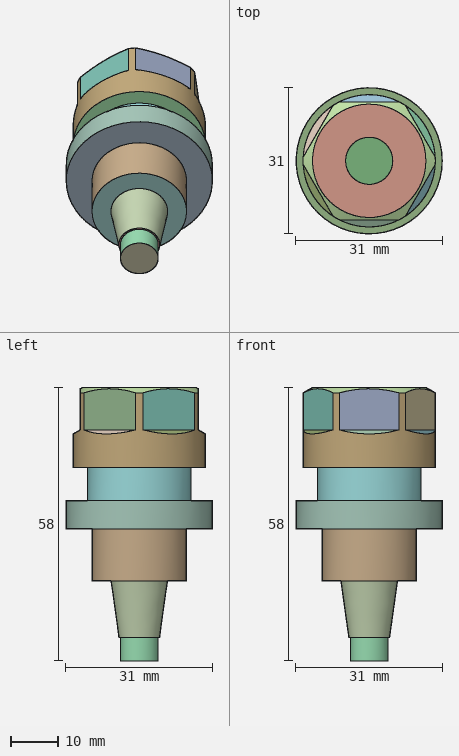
import cadquery as cq
import math

tip_diameter = 8.0
tip_height = 5.0
taper_small_diameter = 8.65
taper_large_diameter = 12.0
taper_height = 12.0
body_diameter = 20.0
body_height = 11.0
flange_diameter = 31.0
flange_height = 6.0
neck_diameter = 22.0
neck_height = 7.0

nut_diameter = 28.0
nut_height = 17.0
across_flats = 25.0
flat_height = 9.0
flat_count = 6
crown_diameter = 24.0
slope_angle = 30.0
bore_diameter = 10.0
bore_depth = nut_height

slope = math.tan(math.radians(slope_angle))
nut_radius = nut_diameter / 2

taper_base = tip_height
body_base = taper_base + taper_height
flange_base = body_base + body_height
neck_base = flange_base + flange_height
nut_base = neck_base + neck_height
nut_top = nut_base + nut_height


def cylinder(diameter, base, height):
    return cq.Workplane("XY").workplane(offset=base).circle(diameter / 2).extrude(height)


def taper():
    return (
        cq.Workplane("XY")
        .workplane(offset=taper_base)
        .circle(taper_small_diameter / 2)
        .workplane(offset=taper_height)
        .circle(taper_large_diameter / 2)
        .loft(combine=True)
    )


def nut_blank():
    """Round nut with a conical bevel around its top edge."""
    crown_radius = crown_diameter / 2
    bevel_height = (nut_radius - crown_radius) * slope
    return (
        cq.Workplane("XZ")
        .moveTo(0, nut_base)
        .lineTo(nut_radius, nut_base)
        .lineTo(nut_radius, nut_top - bevel_height)
        .lineTo(crown_radius, nut_top)
        .lineTo(0, nut_top)
        .close()
        .revolve(360, (0, 0, 0), (0, 1, 0))
    )


def flat_cutter():
    """Tool for the flat facing +Y, with a floor sloping down and outwards."""
    inner = across_flats / 2
    outer = nut_radius + 0.6
    floor = nut_top - flat_height
    return (
        cq.Workplane("YZ")
        .moveTo(inner, floor)
        .lineTo(outer, floor - (outer - inner) * slope)
        .lineTo(outer, nut_top)
        .lineTo(inner, nut_top)
        .close()
        .extrude(nut_radius, both=True)
    )


def nut():
    shape = nut_blank()
    cutter = flat_cutter()
    for index in range(flat_count):
        angle = index * 360 / flat_count
        shape = shape.cut(cutter.rotate((0, 0, 0), (0, 0, 1), angle))
    return shape


shank = (
    cylinder(tip_diameter, 0, tip_height)
    .union(taper())
    .union(cylinder(body_diameter, body_base, body_height))
    .union(cylinder(flange_diameter, flange_base, flange_height))
    .union(cylinder(neck_diameter, neck_base, neck_height))
)
bore = cylinder(bore_diameter, nut_top - bore_depth, bore_depth)

result = shank.union(nut()).cut(bore)